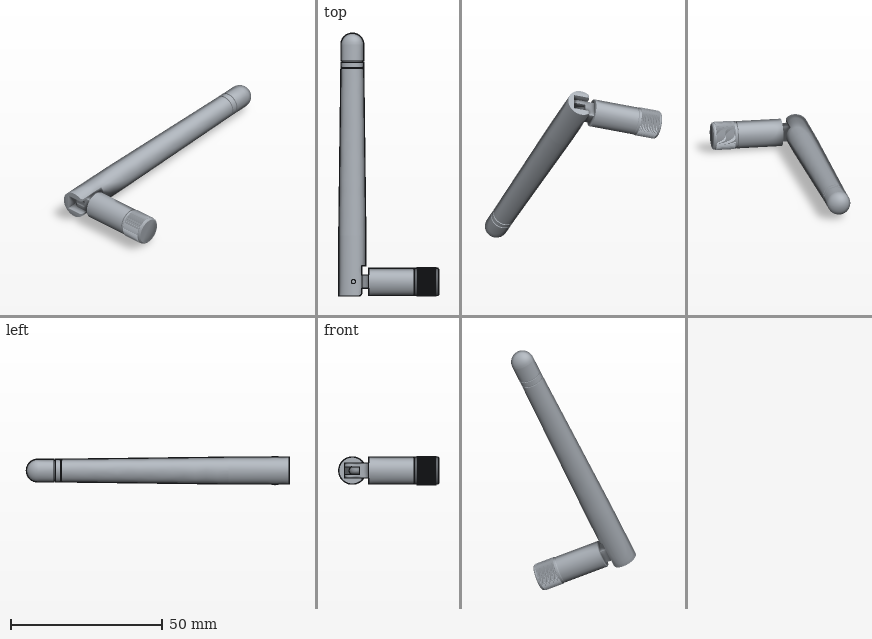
import cadquery as cq
import math


whip_length = 86.9
foot_radius = 4.5
tip_radius = 3.8
foot_length = 20.0
dome_base = whip_length - tip_radius
ring_groove_width = 0.4
ring_groove_depth = 0.35
ring_groove_starts = (75.2, 77.25)
taper_end = ring_groove_starts[0]

shoulder_height = 10.0
flat_x = 3.1
flat_corner_radius = 1.0
slot_wall_x = -2.6

connector_y = 4.7
connector_radius = 4.5
connector_start = 5.4
nut_start = 20.3
connector_end = 28.6

tongue_thickness = 5.0
tongue_y = 4.8
tongue_radius = 2.3
tongue_center_x = -0.3
fork_gap = 2.4
fork_floor_x = 2.35
peg_x = 0.35
peg_radius = 0.7

cable_radius = 1.4
cable_x = 0.35
cable_bend_radius = fork_floor_x - cable_x

nut_chamfer = 0.35
knurl_start = 21.4
knurl_end = 27.7
knurl_radius = 4.7
tooth_count = 88


def pegs():
    """Hinge pin stretch on both sides of the tongue, trimmed flush with the round whip foot."""
    rod = (
        cq.Workplane("XY")
        .center(peg_x, tongue_y)
        .circle(peg_radius)
        .extrude(foot_radius, both=True)
    )
    foot = cq.Workplane("XZ").circle(foot_radius).extrude(-foot_length)
    return rod.intersect(foot)


def ring_groove(start):
    """Ring that cuts one shallow groove around the whip."""
    return (
        cq.Workplane("XZ", origin=(0, start, 0))
        .circle(foot_radius)
        .circle(tip_radius - ring_groove_depth)
        .extrude(-ring_groove_width)
    )


def make_whip():
    """Straight foot, long taper and domed tip, with the hinge cut-outs in the foot."""
    dome_mid = tip_radius * math.sqrt(0.5)
    whip = (
        cq.Workplane("XY")
        .moveTo(0, 0)
        .lineTo(foot_radius, 0)
        .lineTo(foot_radius, foot_length)
        .lineTo(tip_radius, taper_end)
        .lineTo(tip_radius, dome_base)
        .threePointArc((dome_mid, dome_base + dome_mid), (0, whip_length))
        .close()
        .revolve(360, (0, 0, 0), (0, 1, 0))
    )
    for start in ring_groove_starts:
        whip = whip.cut(ring_groove(start))

    flat_cut = (
        cq.Workplane("XY")
        .moveTo(flat_x - flat_corner_radius, 0)
        .radiusArc((flat_x, flat_corner_radius), -flat_corner_radius)
        .lineTo(flat_x, shoulder_height)
        .lineTo(2 * foot_radius, shoulder_height)
        .lineTo(2 * foot_radius, 0)
        .close()
        .extrude(foot_radius, both=True)
    )
    slot = cq.Workplane("XY").box(
        2 * foot_radius, shoulder_height, tongue_thickness, centered=(False, False, True)
    ).translate((slot_wall_x, 0, 0))
    return whip.cut(flat_cut).cut(slot).cut(pegs())


def make_cable():
    """Cable that leaves the fork floor along -X and bends up to the top of the slot."""
    bend_mid = cable_bend_radius * math.sqrt(0.5)
    bend_top = connector_y + cable_bend_radius
    path = (
        cq.Workplane("XY")
        .moveTo(connector_start, connector_y)
        .lineTo(fork_floor_x, connector_y)
        .threePointArc((fork_floor_x - bend_mid, bend_top - bend_mid), (cable_x, bend_top))
        .lineTo(cable_x, shoulder_height)
    )
    return (
        cq.Workplane("YZ", origin=(connector_start, connector_y, 0))
        .circle(cable_radius)
        .sweep(path)
    )


def make_connector():
    """Round barrel with a forked, round-ended tongue, hinge pegs and the cable."""
    barrel = (
        cq.Workplane("YZ", origin=(connector_start, connector_y, 0))
        .circle(connector_radius)
        .extrude(nut_start - connector_start)
    )
    tongue = (
        cq.Workplane("XY")
        .moveTo(connector_start, tongue_y - tongue_radius)
        .lineTo(tongue_center_x, tongue_y - tongue_radius)
        .threePointArc(
            (tongue_center_x - tongue_radius, tongue_y),
            (tongue_center_x, tongue_y + tongue_radius),
        )
        .lineTo(connector_start, tongue_y + tongue_radius)
        .close()
        .extrude(tongue_thickness / 2, both=True)
    )
    gap = cq.Workplane("XY").box(
        2 * foot_radius, 2 * shoulder_height, fork_gap
    ).translate((fork_floor_x - foot_radius, tongue_y, 0))
    hinge = tongue.union(pegs()).cut(gap)
    return barrel.union(hinge).union(make_cable())


def make_nut():
    """Chamfered round nut with a band of straight knurling."""
    nut = (
        cq.Workplane("YZ", origin=(nut_start, connector_y, 0))
        .circle(connector_radius)
        .extrude(connector_end - nut_start)
        .edges()
        .chamfer(nut_chamfer)
    )
    tooth_points = []
    for index in range(2 * tooth_count):
        radius = knurl_radius if index % 2 == 0 else connector_radius
        angle = math.pi * index / tooth_count
        tooth_points.append((radius * math.cos(angle), radius * math.sin(angle)))
    knurl = (
        cq.Workplane("YZ", origin=(knurl_start, connector_y, 0))
        .polyline(tooth_points)
        .close()
        .extrude(knurl_end - knurl_start)
    )
    return nut.union(knurl)


whip = make_whip()
connector = make_connector()
nut = make_nut()

result = cq.Compound.makeCompound([whip.solids().val(), connector.solids().val(), nut.solids().val()])